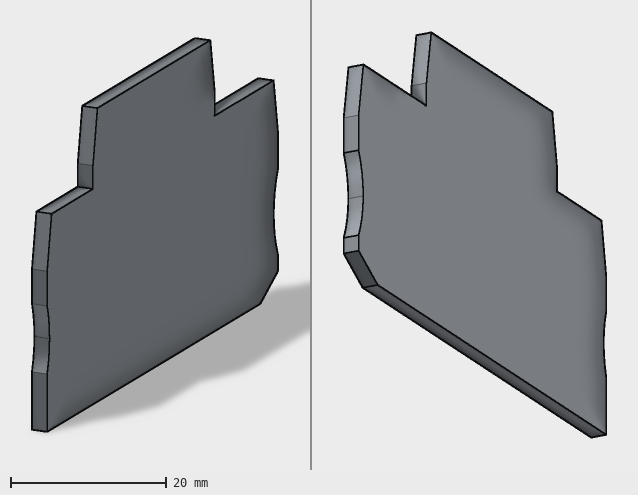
import cadquery as cq
import math

thickness = 2.2
length = 67.55
height = 39.65

tower_height = 10.55
tower_front_setback = 13.4
tower_back_setback = 18.5

taper_run = 1.3
taper_angle = 10.0
taper_drop = taper_run / math.tan(math.radians(taper_angle))

front_recess_center_z = 12.45
front_recess_width = 9.2
front_recess_depth = 0.7
back_recess_center_z = 11.0
back_recess_width = 11.7
back_recess_depth = 1.25

corner_height = 3.0
corner_angle = 30.0
corner_run = corner_height / math.tan(math.radians(corner_angle))

front_end = -length / 2
back_end = length / 2
shoulder_z = height - tower_height
tower_front = front_end + tower_front_setback
tower_back = back_end - tower_back_setback


def recess_to(profile, end_y, center_z, width, depth, rise):
    """Cut an arc into an end, as two tangent halves meeting at its deepest point.

    depth is the signed Y offset of the deepest point;
    rise is +1 when the outline runs upward and -1 when it runs downward.
    """
    half_width = width / 2
    radius = (half_width**2 + depth**2) / (2 * abs(depth))
    quarter_angle = math.asin(half_width / radius) / 2
    quarter_z = radius * math.sin(quarter_angle)
    quarter_loss = radius * (1 - math.cos(quarter_angle))
    quarter_y = end_y + math.copysign(abs(depth) - quarter_loss, depth)

    start = (end_y, center_z - rise * half_width)
    deepest = (end_y + depth, center_z)
    finish = (end_y, center_z + rise * half_width)
    return (
        profile.lineTo(*start)
        .threePointArc((quarter_y, center_z - rise * quarter_z), deepest)
        .threePointArc((quarter_y, center_z + rise * quarter_z), finish)
    )


def front_edge(profile):
    """-Y end, running upward from the bottom corner to the shoulder."""
    profile = recess_to(
        profile, front_end, front_recess_center_z, front_recess_width, front_recess_depth, 1
    )
    return profile.lineTo(front_end, shoulder_z - taper_drop).lineTo(front_end + taper_run, shoulder_z)


def tower_edge(profile):
    """Tower with short upright sides below its tapered sides."""
    return (
        profile.lineTo(tower_front, shoulder_z)
        .lineTo(tower_front, height - taper_drop)
        .lineTo(tower_front + taper_run, height)
        .lineTo(tower_back - taper_run, height)
        .lineTo(tower_back, height - taper_drop)
        .lineTo(tower_back, shoulder_z)
    )


def back_edge(profile):
    """+Y end, running downward from the shoulder to the sloped bottom corner."""
    profile = profile.lineTo(back_end - taper_run, shoulder_z).lineTo(back_end, shoulder_z - taper_drop)
    profile = recess_to(
        profile, back_end, back_recess_center_z, back_recess_width, -back_recess_depth, -1
    )
    return profile.lineTo(back_end, corner_height).lineTo(back_end - corner_run, 0)


outline = cq.Workplane("YZ", origin=(-thickness / 2, 0, 0)).moveTo(front_end, 0)
outline = front_edge(outline)
outline = tower_edge(outline)
outline = back_edge(outline)
result = outline.close().extrude(thickness, clean=False)